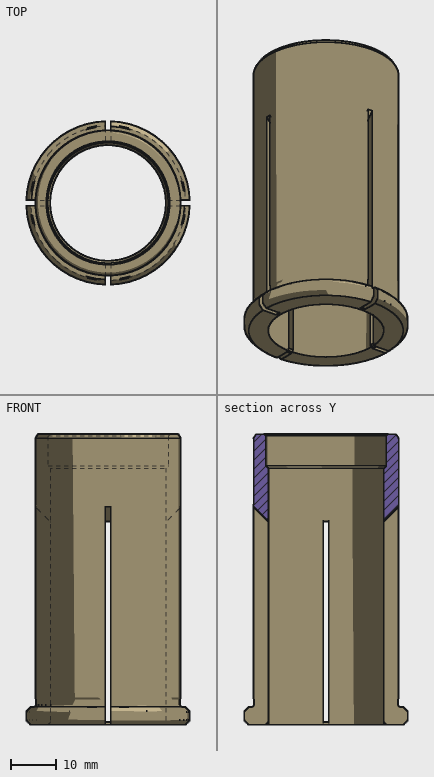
import cadquery as cq

total_height = 64.0
body_radius = 32.0 / 2
rim_chamfer_width = 0.55
rim_chamfer_height = 0.9
edge_rounding = 0.4

flange_radius = 36.0 / 2
flange_height = 4.0
flange_chamfer = 1.0

groove_depth = 0.1
groove_top = 6.0
groove_taper_height = 0.4

bore_radius = 25.4 / 2
counterbore_radius = 26.5 / 2
counterbore_depth = 7.0
bore_mouth_chamfer = 0.35

slot_count = 4
slot_width = 1.2
slot_height = 48.0
slot_foot_radius = 13.35
slot_overrun = 1.0


def revolve_outline(outline, rounded_corners=()):
    """Round the chosen (radius, height) corners of an outline and turn it about Z."""
    border = cq.Wire.makePolygon([cq.Vector(*point) for point in outline], close=True)
    profile = cq.Sketch().face(border)
    for radius, height in rounded_corners:
        corner = cq.selectors.NearestToPointSelector((radius, height, 0))
        profile = profile.vertices(corner).fillet(edge_rounding).reset()
    return cq.Workplane("XZ").placeSketch(profile).revolve(360, (0, 0), (0, 1))


def make_sleeve():
    """Solid plug with the outer outline, its flange and rim edges rounded."""
    groove_radius = body_radius - groove_depth
    flange_flat_radius = flange_radius - flange_chamfer
    flange_chamfer_bottom = flange_height - flange_chamfer
    rim_radius = body_radius - rim_chamfer_width
    outline = [
        (0, 0),
        (flange_flat_radius, 0),
        (flange_radius, flange_chamfer),
        (flange_radius, flange_chamfer_bottom),
        (flange_flat_radius, flange_height),
        (groove_radius, flange_height),
        (groove_radius, groove_top - groove_taper_height),
        (body_radius, groove_top),
        (body_radius, total_height - rim_chamfer_height),
        (rim_radius, total_height),
        (0, total_height),
    ]
    rounded_corners = [
        (flange_radius, flange_chamfer),
        (flange_radius, flange_chamfer_bottom),
        (flange_flat_radius, flange_height),
        (groove_radius, flange_height),
        (rim_radius, total_height),
    ]
    return revolve_outline(outline, rounded_corners)


def make_bore():
    """Through bore with a cone up to a wider, chamfered counterbore at the top."""
    counterbore_floor = total_height - counterbore_depth
    shoulder_height = counterbore_radius - bore_radius
    outline = [
        (0, 0),
        (bore_radius, 0),
        (bore_radius, counterbore_floor - shoulder_height),
        (counterbore_radius, counterbore_floor),
        (counterbore_radius, total_height - bore_mouth_chamfer),
        (counterbore_radius + bore_mouth_chamfer, total_height),
        (0, total_height),
    ]
    return revolve_outline(outline)


def make_slot():
    """Slot along +X; its top ramp falls and its foot ramp rises toward the axis."""
    reach = flange_radius + slot_overrun
    outline = [
        (0, slot_foot_radius),
        (slot_foot_radius, 0),
        (reach, 0),
        (reach, slot_height + reach - body_radius),
        (0, slot_height - body_radius),
    ]
    return cq.Workplane("XZ").polyline(outline).close().extrude(slot_width / 2, both=True)


def cut_slots(sleeve):
    """Cut equally spaced slots through the sleeve wall."""
    slot = make_slot()
    for index in range(slot_count):
        angle = index * 360 / slot_count
        sleeve = sleeve.cut(slot.rotate((0, 0, 0), (0, 0, 1), angle))
    return sleeve


result = cut_slots(make_sleeve().cut(make_bore()))